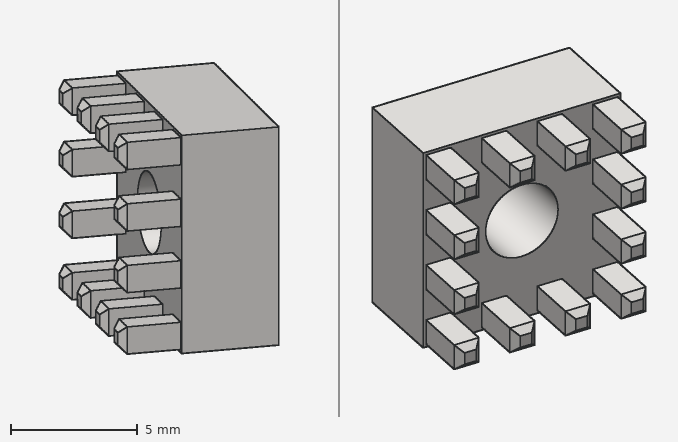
import cadquery as cq

body_side = 9.0
body_depth = 4.0
hole_diameter = 3.3

pin_width = 1.125
pin_length = 2.5
pin_pitch = 2.54
pins_per_side = 4
tip_taper = 0.3


def make_pin(x, z):
    """One pin rooted on the front face (Y = 0), tapered at its free end."""
    pin = cq.Workplane("XZ").center(x, z).rect(pin_width, pin_width).extrude(pin_length)
    return pin.faces("<Y").chamfer(tip_taper)


def pin_ring_positions():
    """Centres of the pins around the border of a square grid."""
    last = pins_per_side - 1
    offsets = [(i - last / 2) * pin_pitch for i in range(pins_per_side)]
    border = (offsets[0], offsets[last])
    return [(x, z) for x in offsets for z in offsets if x in border or z in border]


result = (
    cq.Workplane("XZ")
    .rect(body_side, body_side)
    .circle(hole_diameter / 2)
    .extrude(-body_depth)
)

for pin_x, pin_z in pin_ring_positions():
    result = result.union(make_pin(pin_x, pin_z))